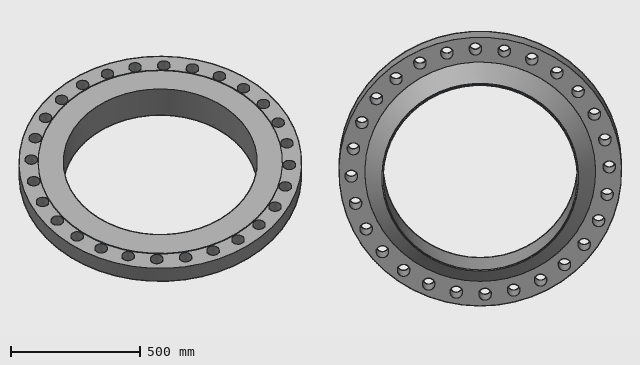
import cadquery as cq

flange_diameter = 1092.0
total_height = 154.0

raised_face_diameter = 944.0
raised_face_height = 3.0
flange_thickness = 76.0

hub_base_diameter = 891.0
neck_diameter = 760.0
neck_height = 10.0
bore_diameter = 749.0

bolt_count = 28
bolt_circle_diameter = 997.0
bolt_hole_diameter = 48.0

flange_top = total_height - raised_face_height
flange_bottom = flange_top - flange_thickness


def revolved_body():
    """Ring section turned around Z: neck, tapered hub, flange, raised face."""
    section = [
        (bore_diameter / 2, 0),
        (neck_diameter / 2, 0),
        (neck_diameter / 2, neck_height),
        (hub_base_diameter / 2, flange_bottom),
        (flange_diameter / 2, flange_bottom),
        (flange_diameter / 2, flange_top),
        (raised_face_diameter / 2, flange_top),
        (raised_face_diameter / 2, total_height),
        (bore_diameter / 2, total_height),
    ]
    return cq.Workplane("XZ").polyline(section).close().revolve(360, (0, 0), (0, 1))


def bolt_holes():
    """Through holes evenly spaced on the bolt circle, one of them on +X."""
    return (
        cq.Workplane("XY")
        .polarArray(bolt_circle_diameter / 2, 0, 360, bolt_count)
        .circle(bolt_hole_diameter / 2)
        .extrude(total_height)
    )


result = revolved_body().cut(bolt_holes())